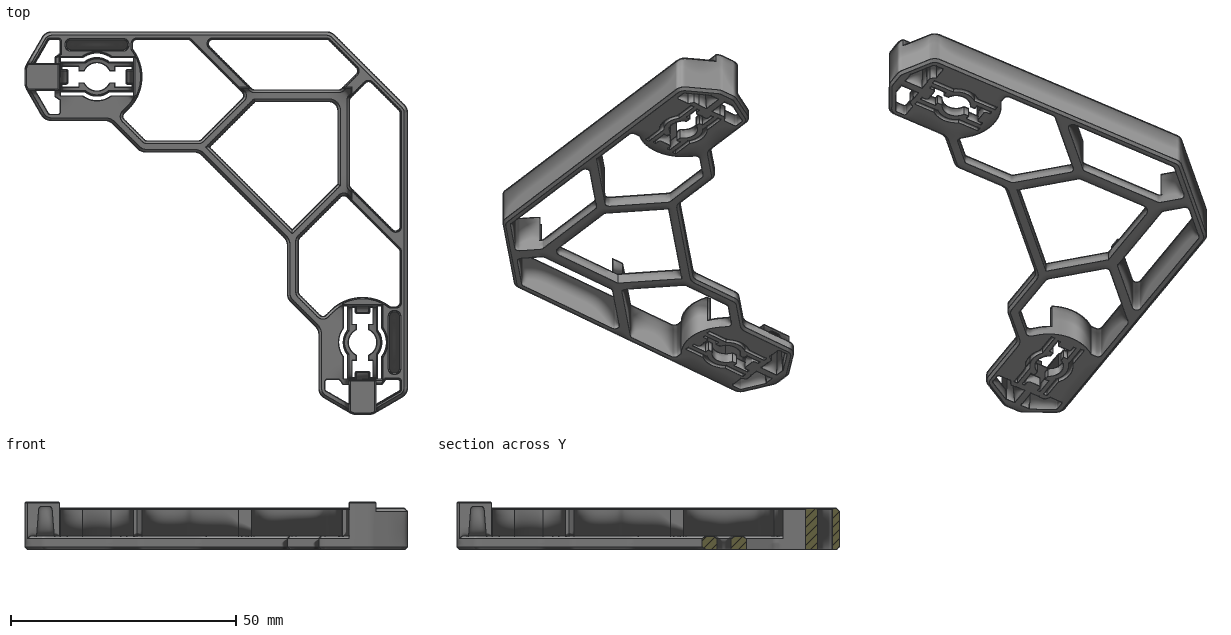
import cadquery as cq
import math


SPAN = 85.0
HEIGHT = 10.6
WALL_TOP = 9.2
WEB_TOP = 3.0
EDGE_CHAMFER = 0.6
WALL_CHAMFER = 0.75
FINE_CHAMFER = 0.3
OUTLINE_RADIUS = 2.5

CORNER_CUT = 17.0
PAD_WIDTH = 19.7
PAD_Y = -10.0
PAD_X = -69.0
PAD_RADIUS = 10.0
TIP_HALF = 2.1
TIP_SLOPE = math.radians(60)
SHOULDER_SUM = -85.9
INNER_STEP = 26.7
INNER_SUM = -73.1

WALL = 1.65
WEB = 2.45
TALL_SUM_OUT = -47.3
TALL_SUM_IN = -50.15
RING_OUT = -12.9
TALL_END = RING_OUT + 0.3
RING_IN = RING_OUT - 2.6
WINDOW_START_X = -61.1
SPOKE = 2.8
LINK_DIFF = 20.1
WINDOW_RADIUS = 1.0
CELL_CORNER_RADIUS = 2.0
DIAGONAL = math.sqrt(2)

CLIP_END_X = -77.2
BLOCK_X = -77.3
BLOCK_WIDTH = 6.0
SLOT_HALF_LENGTH = 8.1
SLOT_HALF = 4.25
SLOT_RADIUS = 5.3
ARM_HALF = 3.35
ARM_RADIUS = 4.3
ARM_TOP = 2.4
OPENING_HALF = 2.3
NECK_HALF = 1.35
NECK_HALF_LENGTH = 4.0
BORE_RADIUS = 3.15
TAB_HALF = 1.65
TAB_LENGTH = 1.7
TAB_RADIUS = 0.5
ARM_END = 0.3
END_WALL_Y = -14.5
SLOT_LIP = 0.9
LIP_LENGTH = 1.15
LIP_DROP = 0.8
TIP_WALL = 1.5
TIP_WINDOW_RADIUS = 0.5
POCKET_LENGTH = 13.6
POCKET_WIDTH = 2.2
POCKET_Y = -2.9
POCKET_RADIUS = 1.0
POCKET_FLOOR = WEB_TOP

RECESS_X = -80.45
RECESS_BOTTOM = 4.4
RECESS_SLOPE = 0.75
RECESS_TOP = 9.6
RECESS_DEPTH = 2.2
RECESS_TILT = 8.0
RECESS_RADIUS = 0.8


def swap(points):
    """Mirror points in the plane X = Y, reversed to keep walking round the outline."""
    return [(y, x) for x, y in reversed(points)]


def other_wing(shape):
    """Mirror a shape from the X wing to the Y wing."""
    return shape.mirror(cq.Vector(1, -1, 0), (0, 0, 0))


def both_wings(shape):
    """Join a shape on the X wing with its mirror image on the Y wing."""
    return shape.union(other_wing(shape))


def prism(points, height, radius):
    """Upright prism with all its corners rounded."""
    body = cq.Workplane("XY").polyline(points).close().extrude(height)
    return body.edges("|Z").fillet(radius)


def box(x_min, x_max, y_min, y_max, z_min, z_max):
    """Box between the given limits."""
    size = (x_max - x_min, y_max - y_min, z_max - z_min)
    return cq.Workplane("XY").box(*size, centered=False).translate((x_min, y_min, z_min))


def outline(height):
    """Outer shape of the bracket, chamfered round its bottom."""
    run = 1 / math.tan(TIP_SLOPE)
    tip_top = PAD_Y + TIP_HALF
    tip_bottom = PAD_Y - TIP_HALF
    half = [
        (-CORNER_CUT, 0),
        (-SPAN - tip_top * run, 0),
        (-SPAN, tip_top),
        (-SPAN, tip_bottom),
        (-SPAN + (tip_bottom + PAD_WIDTH) * run, -PAD_WIDTH),
        (SHOULDER_SUM + PAD_WIDTH, -PAD_WIDTH),
        (SHOULDER_SUM + INNER_STEP, -INNER_STEP),
        (INNER_SUM + INNER_STEP, -INNER_STEP),
    ]
    body = prism(half + swap(half), height, OUTLINE_RADIUS)
    return body.faces("<Z").chamfer(EDGE_CHAMFER)


def wing_window():
    """Large window between the pad and the tall slanted web."""
    shoulder_sum = SHOULDER_SUM + WEB * DIAGONAL
    link_diff = -LINK_DIFF - WEB / 2 * DIAGONAL
    floor_y = -INNER_STEP + WEB
    pad_diff = PAD_X - PAD_Y + PAD_RADIUS * DIAGONAL
    points = [
        (WINDOW_START_X, -WALL),
        (TALL_SUM_IN + WALL, -WALL),
        ((TALL_SUM_IN + link_diff) / 2, (TALL_SUM_IN - link_diff) / 2),
        (floor_y + link_diff, floor_y),
        (shoulder_sum - floor_y, floor_y),
        ((shoulder_sum + pad_diff) / 2, (shoulder_sum - pad_diff) / 2),
        (PAD_X + PAD_RADIUS / DIAGONAL, PAD_Y - PAD_RADIUS / DIAGONAL),
        (WINDOW_START_X, PAD_Y),
    ]
    window = cq.Workplane("XY").polyline(points).close().extrude(HEIGHT)
    pad = cq.Workplane("XY").center(PAD_X, PAD_Y).circle(PAD_RADIUS).extrude(HEIGHT)
    window = window.cut(pad)
    below_pad = PAD_Y - PAD_RADIUS / DIAGONAL - FINE_CHAMFER
    lower_corners = cq.selectors.BoxSelector((-SPAN, below_pad, 0), (0, -SPAN, HEIGHT))
    link_corner = cq.selectors.BoxSelector((TALL_SUM_IN, -WALL * 2, 0), (0, below_pad, HEIGHT))
    upper_corners = cq.selectors.BoxSelector((-SPAN, -WALL * 2, 0), (0, 0, HEIGHT))
    corners = lower_corners + link_corner + upper_corners
    return window.edges("|Z").edges(corners).fillet(WINDOW_RADIUS)


def outer_window():
    """Window between the outer wall, the tall slanted web and the spoke."""
    cut_sum = -CORNER_CUT - WALL * DIAGONAL
    spoke_diff = -SPOKE / 2 * DIAGONAL
    points = [
        (TALL_SUM_OUT + WALL, -WALL),
        (TALL_SUM_OUT - RING_OUT, RING_OUT),
        (RING_OUT + spoke_diff, RING_OUT),
        ((cut_sum + spoke_diff) / 2, (cut_sum - spoke_diff) / 2),
        (cut_sum + WALL, -WALL),
    ]
    return prism(points, HEIGHT, WINDOW_RADIUS)


def central_window():
    """Five-sided window crossing the symmetry plane."""
    diff = -LINK_DIFF + WEB / 2 * DIAGONAL
    inner_sum = INNER_SUM + WEB * DIAGONAL
    half = [
        (RING_IN + diff, RING_IN),
        ((inner_sum + diff) / 2, (inner_sum - diff) / 2),
    ]
    points = [(RING_IN, RING_IN)] + half + swap(half)
    window = cq.Workplane("XY").polyline(points).close().extrude(HEIGHT)
    window = window.edges("|Z and (>X and >Y)").fillet(CELL_CORNER_RADIUS)
    return window


def keyhole(half_length, half_width, radius, height):
    """Long slot with a round bulge in its middle, centred on the pad."""
    slot = cq.Workplane("XY").rect(2 * half_length, 2 * half_width).extrude(height)
    bulge = cq.Workplane("XY").circle(radius).extrude(height)
    return slot.union(bulge).translate((PAD_X, PAD_Y, 0))


def tip_windows():
    """Pair of triangular windows beside the end block."""
    line_x = -SPAN + TIP_WALL / math.sin(TIP_SLOPE)
    run = 1 / math.tan(TIP_SLOPE)
    far = -PAD_Y - WALL
    near = BLOCK_WIDTH / 2
    lip = SLOT_HALF + SLOT_LIP
    half = [
        (line_x + (near - TIP_HALF) * run, near),
        (line_x + (far - TIP_HALF) * run, far),
        (CLIP_END_X, far),
        (CLIP_END_X, lip),
        (CLIP_END_X - LIP_LENGTH, lip - LIP_DROP),
        (CLIP_END_X - LIP_LENGTH, near),
    ]
    upper = cq.Workplane("XY").polyline(half).close().extrude(HEIGHT)
    upper = upper.edges("|Z and >Y").fillet(TIP_WINDOW_RADIUS)
    return upper.union(upper.mirror("XZ")).translate((0, PAD_Y, 0))


def clip_slot():
    """Space cleared through the pad round the spring arms."""
    return keyhole(SLOT_HALF_LENGTH, SLOT_HALF, SLOT_RADIUS, HEIGHT)


def spring_clip():
    """Two spring arms with a round bore between them, and a tab at each end."""
    clip = keyhole(SLOT_HALF_LENGTH, ARM_HALF, ARM_RADIUS, ARM_TOP)
    clip = clip.faces(">Z").chamfer(FINE_CHAMFER)
    opening = keyhole(NECK_HALF_LENGTH, NECK_HALF, BORE_RADIUS, ARM_TOP)
    arm_end = SLOT_HALF_LENGTH - ARM_END
    for side in (-1, 1):
        ends = sorted((side * NECK_HALF_LENGTH + PAD_X, side * arm_end + PAD_X))
        opening = opening.union(
            box(*ends, PAD_Y - OPENING_HALF, PAD_Y + OPENING_HALF, 0, ARM_TOP)
        )
    clip = clip.cut(opening)
    for side, tip in ((-1, ">X"), (1, "<X")):
        tip_x = PAD_X + side * (SLOT_HALF_LENGTH - TAB_LENGTH)
        root_x = PAD_X + side * (SLOT_HALF_LENGTH + FINE_CHAMFER)
        tab = box(*sorted((tip_x, root_x)), PAD_Y - TAB_HALF, PAD_Y + TAB_HALF, 0, WEB_TOP)
        tab = tab.edges("|Z").edges(tip).fillet(TAB_RADIUS)
        clip = clip.union(tab.faces(">Z").chamfer(FINE_CHAMFER))
    return clip


def end_block():
    """Tall block at the tip of the pad."""
    half = BLOCK_WIDTH / 2
    block = outline(HEIGHT).intersect(box(-SPAN, BLOCK_X, PAD_Y - half, PAD_Y + half, 0, HEIGHT))
    return block.faces(">Z").chamfer(FINE_CHAMFER)


def block_recesses():
    """Tapered recess in each side of the end block, shallower towards its top."""
    half_bottom = RECESS_BOTTOM / 2
    half_top = half_bottom - RECESS_SLOPE
    profile = [(-half_bottom, 0), (half_bottom, 0), (half_top, RECESS_TOP), (-half_top, RECESS_TOP)]
    recess = cq.Workplane("XZ").polyline(profile).close().extrude(-RECESS_DEPTH)
    recess = recess.edges("|Y and >Z").fillet(RECESS_RADIUS)
    floor_cut = box(-half_bottom, half_bottom, RECESS_DEPTH, 2 * RECESS_DEPTH, 0, 2 * RECESS_TOP)
    recess = recess.cut(floor_cut.rotate((0, RECESS_DEPTH, 0), (1, RECESS_DEPTH, 0), RECESS_TILT))
    recess = recess.translate((RECESS_X, -BLOCK_WIDTH / 2, 0))
    return recess.union(recess.mirror("XZ")).translate((0, PAD_Y, 0))


def wall_pocket():
    """Rounded pocket sunk into the tall wall beside the clip."""
    pocket = box(
        PAD_X - POCKET_LENGTH / 2, PAD_X + POCKET_LENGTH / 2,
        POCKET_Y - POCKET_WIDTH / 2, POCKET_Y + POCKET_WIDTH / 2,
        POCKET_FLOOR, HEIGHT,
    )
    return pocket.edges("|Z").fillet(POCKET_RADIUS)


def tall_zone():
    """Region of the X wing that rises to the tall wall's height."""
    outer = box(-SPAN, 0, TALL_END, 0, 0, WALL_TOP)
    low_pad = box(-SPAN, PAD_X + SLOT_HALF_LENGTH, -PAD_WIDTH, PAD_Y, 0, WALL_TOP)
    end_wall = box(PAD_X + SLOT_HALF_LENGTH, PAD_X + PAD_RADIUS, END_WALL_Y, PAD_Y, 0, WALL_TOP)
    return outer.cut(low_pad).union(end_wall)


large_windows = both_wings(wing_window().union(outer_window())).union(central_window())
pad_openings = both_wings(tip_windows().union(clip_slot()))

low_frame = outline(WEB_TOP).cut(large_windows)
low_frame = low_frame.faces(">Z").chamfer(EDGE_CHAMFER).cut(pad_openings)

tall_wall = outline(WALL_TOP).intersect(both_wings(tall_zone()))
tall_wall = tall_wall.cut(large_windows).cut(pad_openings).cut(both_wings(wall_pocket()))
tall_wall = tall_wall.faces(">Z").chamfer(FINE_CHAMFER)
tall_wall = tall_wall.intersect(outline(WALL_TOP).faces(">Z").chamfer(WALL_CHAMFER))

frame = tall_wall.union(both_wings(end_block())).union(low_frame)
result = frame.cut(both_wings(block_recesses())).union(both_wings(spring_clip()))